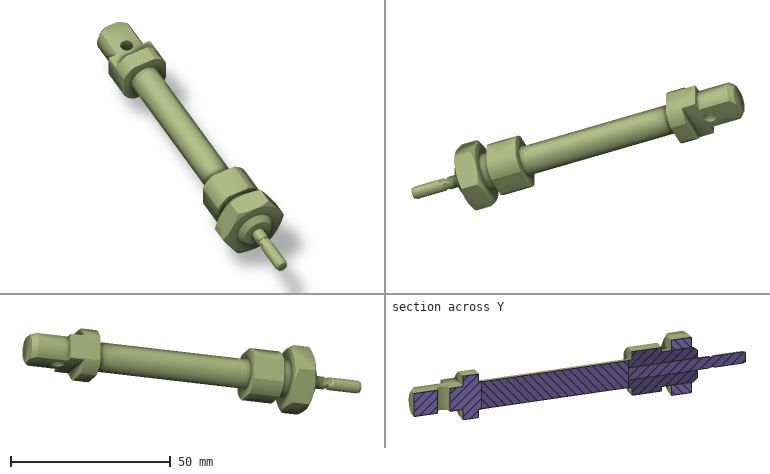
import cadquery as cq
import math

total_length = 111.0

head_width = 15.0
head_corner_diameter = 16.6
collar_diameter = 9.5
collar_length = 1.0

tongue_diameter = 12.0
tongue_thickness = 8.0
tongue_chamfer = 1.5
tongue_length = 11.8
shoulder_start = 16.4
rear_head_end = 21.8
pivot_hole_diameter = 4.1
pivot_hole_x = 10.0

barrel_diameter = 9.3
barrel_start = rear_head_end + collar_length

front_head_start = 72.9
front_head_length = 10.0
nose_diameter = 12.0
nose_end = 95.0
nose_tip_diameter = 9.3
nose_chamfer_length = 1.7
barrel_end = front_head_start - collar_length
front_head_end = front_head_start + front_head_length

nut_start = 86.0
nut_thickness = 7.0
nut_across_flats = 19.0
nut_face_diameter = 18.9
nut_chamfer_angle = 30.0

rod_diameter = 4.0
rod_chamfer_length = 1.0
rod_chamfer_depth = 0.3
wrench_across_flats = 3.0
wrench_center_x = 99.6
wrench_flat_length = 3.1
wrench_hex_length = 1.3


def cylinder(diameter, start, end):
    """Round bar on the X axis between two X positions."""
    return cq.Workplane("YZ", origin=(start, 0, 0)).circle(diameter / 2).extrude(end - start)


def revolve_about_axis(points):
    """Solid of revolution about X from closed (x, radius) points."""
    return cq.Workplane("XY").polyline(points).close().revolve(360, (0, 0), (1, 0))


def head_block(start, end):
    """Square block with its corners rounded by a cylinder."""
    square = cq.Workplane("YZ", origin=(start, 0, 0)).rect(head_width, head_width).extrude(end - start)
    return square.intersect(cylinder(head_corner_diameter, start, end))


def hex_bar(across_flats, start, end):
    """Hexagonal bar on the X axis with two corners on the Y direction."""
    across_corners = across_flats / math.cos(math.radians(30))
    return cq.Workplane("YZ", origin=(start, 0, 0)).polygon(6, across_corners).extrude(end - start)


def make_rear_head():
    tongue = cylinder(tongue_diameter, 0, shoulder_start).faces("<X").chamfer(tongue_chamfer)
    flat_part = tongue.union(head_block(tongue_length, shoulder_start))
    slab = cq.Workplane("XY").box(2 * shoulder_start, head_corner_diameter, tongue_thickness)
    pivot_hole = (
        cq.Workplane("XY", origin=(pivot_hole_x, 0, -tongue_thickness / 2))
        .circle(pivot_hole_diameter / 2)
        .extrude(tongue_thickness)
    )
    return (
        flat_part.intersect(slab)
        .union(head_block(shoulder_start, rear_head_end))
        .union(cylinder(collar_diameter, rear_head_end, barrel_start))
        .cut(pivot_hole)
    )


def make_barrel():
    return cylinder(barrel_diameter, barrel_start, barrel_end)


def make_front_head():
    nose_radius = nose_diameter / 2
    nose = revolve_about_axis([
        (front_head_start, 0),
        (front_head_start, nose_radius),
        (nose_end - nose_chamfer_length, nose_radius),
        (nose_end, nose_tip_diameter / 2),
        (nose_end, 0),
    ])
    rod_bore = cylinder(rod_diameter, barrel_end, nose_end)
    return (
        nose.union(head_block(front_head_start, front_head_end))
        .union(cylinder(collar_diameter, barrel_end, front_head_start))
        .cut(rod_bore)
    )


def make_nut():
    nut_end = nut_start + nut_thickness
    face_radius = nut_face_diameter / 2
    outer_radius = nut_across_flats / 2 / math.cos(math.radians(30))
    chamfer_length = (outer_radius - face_radius) * math.tan(math.radians(nut_chamfer_angle))
    corner_chamfers = revolve_about_axis([
        (nut_start, 0),
        (nut_start, face_radius),
        (nut_start + chamfer_length, outer_radius),
        (nut_end - chamfer_length, outer_radius),
        (nut_end, face_radius),
        (nut_end, 0),
    ])
    return (
        hex_bar(nut_across_flats, nut_start, nut_end)
        .intersect(corner_chamfers)
        .cut(cylinder(nose_diameter, nut_start, nut_end))
    )


def wrench_flat(side):
    """Cutter for one rod flat with 45 degree ends, on the +Y (side = 1) or -Y (side = -1) face."""
    flat_y = wrench_across_flats / 2
    outer_y = rod_diameter / 2
    half_floor = wrench_flat_length / 2
    half_mouth = half_floor + outer_y - flat_y
    return (
        cq.Workplane("XY", origin=(wrench_center_x, 0, 0))
        .polyline([
            (-half_floor, side * flat_y),
            (half_floor, side * flat_y),
            (half_mouth, side * outer_y),
            (-half_mouth, side * outer_y),
        ])
        .close()
        .extrude(rod_diameter / 2, both=True)
    )


def make_rod():
    rod_radius = rod_diameter / 2
    rod = revolve_about_axis([
        (barrel_end, 0),
        (barrel_end, rod_radius),
        (total_length - rod_chamfer_length, rod_radius),
        (total_length, rod_radius - rod_chamfer_depth),
        (total_length, 0),
    ])
    for side in (-1, 1):
        rod = rod.cut(wrench_flat(side))
    hex_start = wrench_center_x - wrench_hex_length / 2
    hex_end = wrench_center_x + wrench_hex_length / 2
    hex_core = hex_bar(wrench_across_flats, hex_start, hex_end).rotate((0, 0, 0), (1, 0, 0), 90)
    return rod.cut(cylinder(rod_diameter, hex_start, hex_end).cut(hex_core))


rear_head = make_rear_head()
barrel = make_barrel()
front_head = make_front_head()
nut = make_nut()
rod = make_rod()

result = cq.Compound.makeCompound([
    rear_head.val(),
    barrel.val(),
    front_head.val(),
    nut.val(),
    rod.val(),
])